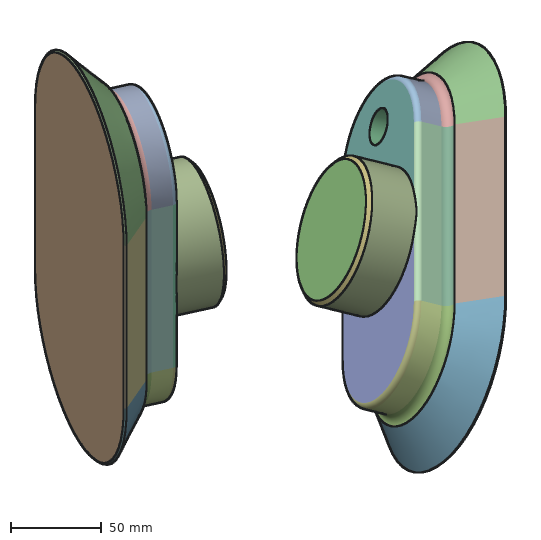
import cadquery as cq
import math

length = 252.0
width = 142.0
depth = 71.5
straight_length = length - width

neck_width = 87.5
neck_end = 41.8
root_fillet = 5.0
neck_edge_fillet = 3.0

lip_bevel = 1.3
skirt_end = 21.2
skirt_ledge = 0.5
skirt_end_width = neck_width + 2 * (root_fillet + skirt_ledge)

spigot_diameter = 85.0
spigot_chamfer = 2.5

port_diameter = 21.0
port_depth = 15.0
neck_half_length = (straight_length + neck_width) / 2
port_height = (neck_half_length + spigot_diameter / 2) / 2


def plane_at(position):
    """Sketch plane facing +Y, with its local x axis along Z."""
    return cq.Plane(origin=(0, position, 0), xDir=(0, 0, 1), normal=(0, 1, 0))


def stadium_prism(start, end, start_width, end_width):
    """Stadium solid along Y whose walls slope evenly from one width to the other."""
    height = end - start
    taper = math.degrees(math.atan2((start_width - end_width) / 2, height))
    outline = cq.Workplane(plane_at(start)).slot2D(straight_length + start_width, start_width)
    return outline.extrude(height, taper=taper)


def make_skirt():
    lip = stadium_prism(0, lip_bevel, width - 2 * lip_bevel, width)
    flare = stadium_prism(lip_bevel, skirt_end, width, skirt_end_width)
    return lip.union(flare)


def add_neck(body):
    neck = stadium_prism(skirt_end, neck_end, neck_width, neck_width)
    neck = neck.faces(">Y").edges().fillet(neck_edge_fillet)
    root_edges = cq.selectors.BoxSelector(
        (-neck_width / 2 - skirt_ledge, skirt_end - skirt_ledge, -neck_half_length - skirt_ledge),
        (neck_width / 2 + skirt_ledge, skirt_end + skirt_ledge, neck_half_length + skirt_ledge),
        boundingbox=True,
    )
    return body.union(neck).edges(root_edges).fillet(root_fillet)


def add_spigot(body):
    spigot = cq.Workplane(plane_at(skirt_end)).circle(spigot_diameter / 2).extrude(depth - skirt_end)
    spigot = spigot.faces(">Y").edges().chamfer(spigot_chamfer)
    return body.union(spigot)


def cut_port(body):
    port = cq.Workplane(plane_at(neck_end)).center(port_height, 0).circle(port_diameter / 2)
    return body.cut(port.extrude(-port_depth))


result = cut_port(add_spigot(add_neck(make_skirt())))